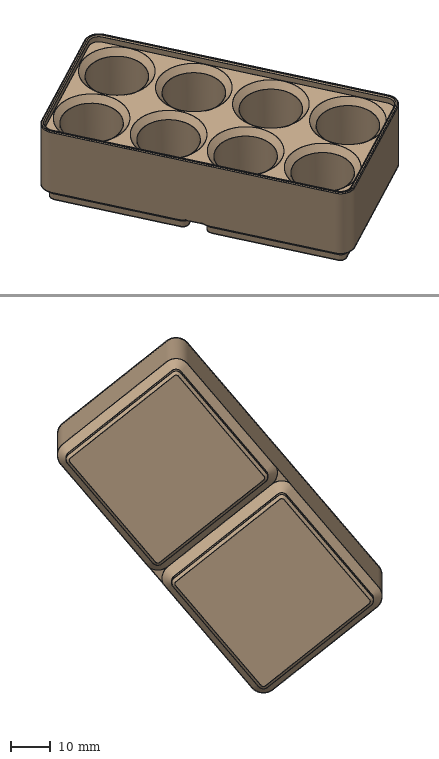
import cadquery as cq

length = 83.5
width = 41.5
height = 24.5
corner_radius = 3.75

foot_count = 2
cell_pitch = 42.0
cell_overhang = (foot_count * cell_pitch - length) / 2
cell_corner_radius = corner_radius + cell_overhang
foot_lower_chamfer = 0.8
foot_straight = 1.75
foot_upper_chamfer = 2.4
neck_height = foot_lower_chamfer + foot_straight
foot_height = neck_height + foot_upper_chamfer
foot_overlap = 0.1

rim_wall = 1.0
rim_height = 2.0
rim_outer_chamfer = 0.25
rim_inner_chamfer = 0.3
floor_z = height - rim_height

cup_columns = 4
cup_rows = 2
cup_pitch_x = 20.5
cup_pitch_y = 19.9
cup_diameter = 16.0
cup_mouth_chamfer = 1.7
cup_bottom_z = 7.0


def rounded_block(size_x, size_y, size_z, radius, base_z):
    """Upright block with rounded vertical edges, centred on the Z axis."""
    block = cq.Workplane("XY").workplane(offset=base_z).rect(size_x, size_y).extrude(size_z)
    return block.edges("|Z").fillet(radius)


def inset_block(inset, size_z, base_z):
    """Block following the bin outline, moved inwards by an inset."""
    return rounded_block(length - 2 * inset, width - 2 * inset, size_z, corner_radius - inset, base_z)


def foot():
    """Small bottom chamfer, straight neck, then a 45 degree flare up to the full cell."""
    neck_size = cell_pitch - 2 * foot_upper_chamfer
    neck_radius = cell_corner_radius - foot_upper_chamfer
    neck = rounded_block(neck_size, neck_size, neck_height, neck_radius, 0)
    neck = neck.faces("<Z").edges().chamfer(foot_lower_chamfer)

    flare_height = foot_upper_chamfer + foot_overlap
    flare = rounded_block(cell_pitch, cell_pitch, flare_height, cell_corner_radius, neck_height)
    flare = flare.faces("<Z").edges().chamfer(foot_upper_chamfer)
    return neck.union(flare)


def rim_cutter():
    """Recess inside the rim, flared at the top to chamfer the rim's inner edge."""
    recess = inset_block(rim_wall, rim_height, floor_z)
    flare = inset_block(rim_wall - rim_inner_chamfer, rim_height, height - rim_inner_chamfer)
    flare = flare.faces("<Z").edges().chamfer(rim_inner_chamfer)
    return recess.union(flare)


def cup_cutter():
    """Flat-bottomed cup with a 45 degree countersunk mouth, its axis on Z."""
    bore_radius = cup_diameter / 2
    mouth_radius = bore_radius + cup_mouth_chamfer
    profile = (
        cq.Workplane("XZ")
        .moveTo(0, cup_bottom_z)
        .lineTo(bore_radius, cup_bottom_z)
        .lineTo(bore_radius, floor_z - cup_mouth_chamfer)
        .lineTo(mouth_radius, floor_z)
        .lineTo(0, floor_z)
        .close()
    )
    return profile.revolve(360, (0, 0), (0, 1))


body = inset_block(0, height - foot_height, foot_height)
for index in range(foot_count):
    foot_x = (index - (foot_count - 1) / 2) * cell_pitch
    body = body.union(foot().translate((foot_x, 0, 0)))
body = body.intersect(inset_block(0, height, 0))

body = body.faces(">Z").edges().chamfer(rim_outer_chamfer)
body = body.cut(rim_cutter())

cups = (
    cq.Workplane("XY")
    .rarray(cup_pitch_x, cup_pitch_y, cup_columns, cup_rows)
    .eachpoint(cup_cutter().val(), combine=False)
)
result = body.cut(cups)